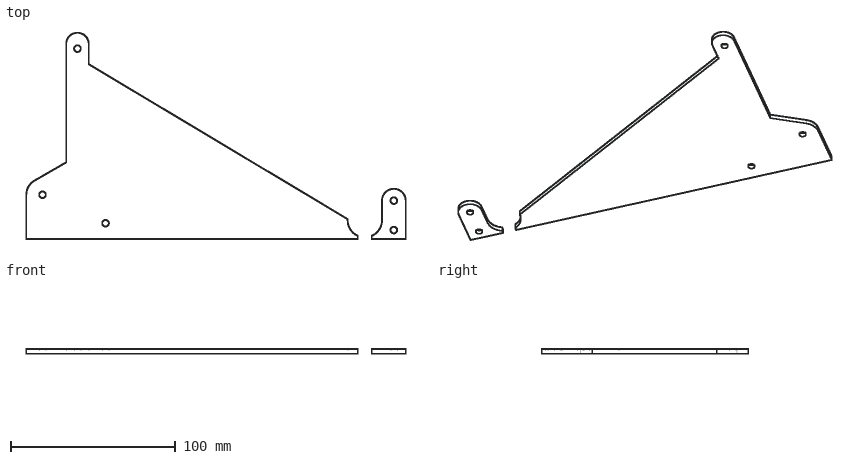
import cadquery as cq
import math

total_length = 230.5
total_height = 125.5
thickness = 3.0
hole_diameter = 4.0

gap_radius = 10.4
gap_center_x = 205.6
gap_center_y = 11.5
toe_gap = 8.3

heel_radius = 10.0
heel_center_y = 27.0
heel_angle = math.radians(30)
tab_left = 24.2
tab_width = 13.8
tab_root_y = 106.3
nose_y = 12.2
tab_hole_drop = 9.7
heel_hole = (heel_radius, heel_center_y)
lower_hole = (48.2, 9.7)

clip_width = total_length - gap_center_x - gap_radius
clip_height = 30.7
clip_lower_hole_y = 5.5

toe_offset = toe_gap / 2
toe_angle = math.acos(toe_offset / gap_radius)


def gap_point(side, angle):
    """Point on the round gap; side is -1 for the plate, 1 for the clip; angle is below horizontal."""
    return (
        gap_center_x + side * gap_radius * math.cos(angle),
        gap_center_y - gap_radius * math.sin(angle),
    )


def drilled(outline, holes):
    """Extrude a closed outline and drill the through holes."""
    body = outline.extrude(thickness)
    cutters = cq.Workplane("XY").pushPoints(holes).circle(hole_diameter / 2).extrude(thickness)
    return body.cut(cutters)


def make_plate():
    tab_radius = tab_width / 2
    tab_right = tab_left + tab_width
    tab_center_x = tab_left + tab_radius
    tab_arc_y = total_height - tab_radius

    def heel_point(angle):
        return (
            heel_radius - heel_radius * math.cos(angle),
            heel_center_y + heel_radius * math.sin(angle),
        )

    heel_sweep = math.pi / 2 - heel_angle
    heel_end = heel_point(heel_sweep)
    slope_top_y = heel_end[1] + (tab_left - heel_end[0]) * math.tan(heel_angle)

    outline = (
        cq.Workplane("XY")
        .moveTo(0, 0)
        .lineTo(0, heel_center_y)
        .threePointArc(heel_point(heel_sweep / 2), heel_end)
        .lineTo(tab_left, slope_top_y)
        .lineTo(tab_left, tab_arc_y)
        .threePointArc((tab_center_x, total_height), (tab_right, tab_arc_y))
        .lineTo(tab_right, tab_root_y)
        .lineTo(gap_center_x - gap_radius, nose_y)
        .lineTo(*gap_point(-1, 0))
        .threePointArc(gap_point(-1, toe_angle / 2), gap_point(-1, toe_angle))
        .lineTo(gap_center_x - toe_offset, 0)
        .close()
    )
    tab_hole = (tab_center_x, total_height - tab_hole_drop)
    return drilled(outline, [heel_hole, lower_hole, tab_hole])


def make_clip():
    clip_radius = clip_width / 2
    clip_center_x = total_length - clip_radius
    clip_arc_y = clip_height - clip_radius

    outline = (
        cq.Workplane("XY")
        .moveTo(gap_center_x + toe_offset, 0)
        .lineTo(*gap_point(1, toe_angle))
        .threePointArc(gap_point(1, toe_angle / 2), gap_point(1, 0))
        .lineTo(total_length - clip_width, clip_arc_y)
        .threePointArc((clip_center_x, clip_height), (total_length, clip_arc_y))
        .lineTo(total_length, 0)
        .close()
    )
    return drilled(outline, [(clip_center_x, clip_lower_hole_y), (clip_center_x, clip_arc_y)])


plate = make_plate()
clip = make_clip()

result = cq.Compound.makeCompound([plate.val(), clip.val()])